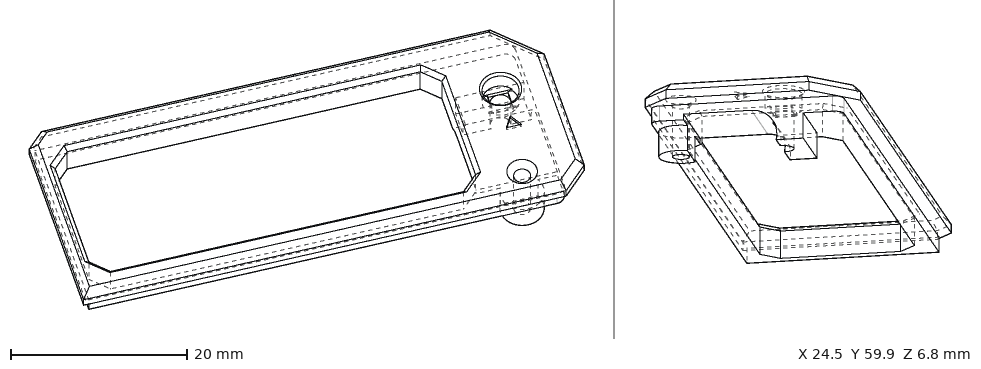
import cadquery as cq
import math

width = 24.5
length = 59.9
plate_thickness = 2.0
edge_bevel = 0.95
left_top_corner = 5.0
right_top_corner = 3.0
left_bottom_corner = 2.05

rim_height = 1.8
post_height = 3.0
rim_left = 1.7
rim_right = width - 0.6
rim_bottom = 0.8
rim_top = length - 2.75
rim_corner_radius = 1.15

rim_base = post_height
plate_base = rim_base + rim_height
top_face = plate_base + plate_thickness

window_left = 3.9
window_right = 21.75
window_bottom = 2.0
window_top = 47.55
window_corner = 2.0
window_bevel = 0.55

bore_x = 9.15
bore_y = 53.55
bore_diameter = 4.2
bore_depth = 2.15
bore_bevel = 0.3
bore_through_diameter = 2.4
bridge_step = 0.25

screw_x = 21.2
screw_y = 52.65
screw_diameter = 1.9
countersink_diameter = 3.5
screw_post_radius = 2.5

block_left = 6.15
block_bottom = 49.1

channel_left = 9.2
channel_right = 20.0
channel_radius = 2.95
channel_ceiling = 3.65

arrow_tip_x = 13.2
arrow_base_x = 14.7
arrow_half_height = 0.9
arrow_depth = 0.35


def box_between(left, right, bottom, top, base, height):
    """Box given by its side positions, base level and height."""
    box = cq.Workplane("XY").box(right - left, top - bottom, height, centered=False)
    return box.translate((left, bottom, base))


def cylinder(x, y, base, height, diameter):
    return cq.Workplane("XY", origin=(x, y, base)).circle(diameter / 2).extrude(height)


def cone_down_from_top(x, y, top_diameter, bottom_diameter):
    """45 degree conical recess opening at the top face."""
    depth = (top_diameter - bottom_diameter) / 2
    mouth = cq.Workplane("XY", origin=(x, y, top_face)).circle(top_diameter / 2)
    return mouth.workplane(offset=-depth).circle(bottom_diameter / 2).loft()


def make_plate():
    outline = [
        (left_bottom_corner, 0),
        (width, 0),
        (width, length - right_top_corner),
        (width - right_top_corner, length),
        (left_top_corner, length),
        (0, length - left_top_corner),
        (0, left_bottom_corner),
    ]
    plate = cq.Workplane("XY", origin=(0, 0, plate_base)).polyline(outline).close()
    return plate.extrude(plate_thickness).faces(">Z").chamfer(edge_bevel)


def make_rim():
    rim = box_between(rim_left, rim_right, rim_bottom, rim_top, rim_base, rim_height)
    return rim.faces(">Y").edges("|Z").fillet(rim_corner_radius)


def make_block_post():
    block_right = channel_left + channel_radius
    return box_between(block_left, block_right, block_bottom, rim_top, 0, post_height)


def make_screw_post():
    return cylinder(screw_x, screw_y, 0, post_height, 2 * screw_post_radius)


def make_channel():
    """Channel through the header of the rim, open below."""
    center_x = channel_left + channel_radius
    center_z = channel_ceiling - channel_radius
    diagonal = channel_radius * math.sqrt(0.5)
    foot_reach = math.sqrt(channel_radius**2 - center_z**2)
    profile = (
        cq.Workplane("XZ", origin=(0, rim_top, 0))
        .moveTo(center_x - foot_reach, 0)
        .threePointArc((center_x - diagonal, center_z + diagonal), (center_x, channel_ceiling))
        .lineTo(channel_right, channel_ceiling)
        .lineTo(channel_right, 0)
        .close()
    )
    return profile.extrude(rim_top - window_top)


def make_window():
    opening = box_between(
        window_left, window_right, window_bottom, window_top, rim_base, top_face - rim_base
    )
    opening = opening.edges("|Z").chamfer(window_corner)
    bevel = (
        opening.faces(">Z")
        .wires()
        .toPending()
        .offset2D(window_bevel, "intersection")
        .extrude(-window_bevel, taper=45, combine=False)
    )
    return opening.union(bevel)


def make_bore():
    floor = top_face - bore_depth
    half = bore_through_diameter / 2
    through = cylinder(bore_x, bore_y, 0, top_face, bore_through_diameter)
    counterbore = cylinder(bore_x, bore_y, floor, bore_depth, bore_diameter)
    mouth = cone_down_from_top(bore_x, bore_y, bore_diameter + 2 * bore_bevel, bore_diameter)
    slot_walls = box_between(
        bore_x - half, bore_x + half, bore_y - bore_diameter, bore_y + bore_diameter, 0, top_face
    )
    slot = cylinder(bore_x, bore_y, floor - bridge_step, bridge_step, bore_diameter).intersect(slot_walls)
    square = box_between(
        bore_x - half, bore_x + half, bore_y - half, bore_y + half, floor - 2 * bridge_step, bridge_step
    )
    return through.union(counterbore).union(mouth).union(slot).union(square)


def make_screw_hole():
    through = cylinder(screw_x, screw_y, 0, top_face, screw_diameter)
    return through.union(cone_down_from_top(screw_x, screw_y, countersink_diameter, screw_diameter))


def make_arrow():
    corners = [
        (arrow_tip_x, bore_y),
        (arrow_base_x, bore_y - arrow_half_height),
        (arrow_base_x, bore_y + arrow_half_height),
    ]
    return cq.Workplane("XY", origin=(0, 0, top_face)).polyline(corners).close().extrude(-arrow_depth)


body = make_plate().union(make_rim()).union(make_block_post()).union(make_screw_post())
result = body.cut(make_channel()).cut(make_window()).cut(make_bore()).cut(make_screw_hole()).cut(make_arrow())